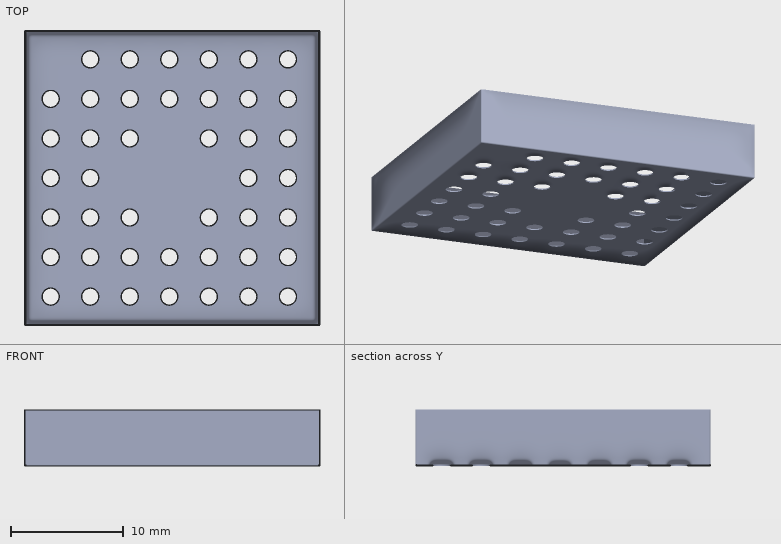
import cadquery as cq

side = 26.2
height = 5.0
wall = 0.1
edge_radius = wall

hole_diameter = 1.5
hole_pitch = 3.5
holes_per_row = 7
grid_shift_x = -0.25


def make_can():
    """Rounded square tray, open at +Z, with sharp inner corners."""
    outer = cq.Workplane("XY").box(side, side, height, centered=(True, True, False))
    outer = outer.edges("|Z or <Z").fillet(edge_radius)
    cavity_side = side - 2 * wall
    cavity = (
        cq.Workplane("XY")
        .workplane(offset=wall)
        .rect(cavity_side, cavity_side)
        .extrude(height)
    )
    return outer.cut(cavity)


def hole_centers():
    """Grid points, leaving out the -X +Y corner and a central plus shape."""
    reach = holes_per_row // 2
    centers = []
    for column in range(-reach, reach + 1):
        for row in range(-reach, reach + 1):
            is_marked_corner = column == -reach and row == reach
            is_central_plus = abs(column) + abs(row) <= 1
            if not (is_marked_corner or is_central_plus):
                centers.append((column * hole_pitch + grid_shift_x, row * hole_pitch))
    return centers


vent_holes = (
    cq.Workplane("XY")
    .pushPoints(hole_centers())
    .circle(hole_diameter / 2)
    .extrude(height)
)

result = make_can().cut(vent_holes)